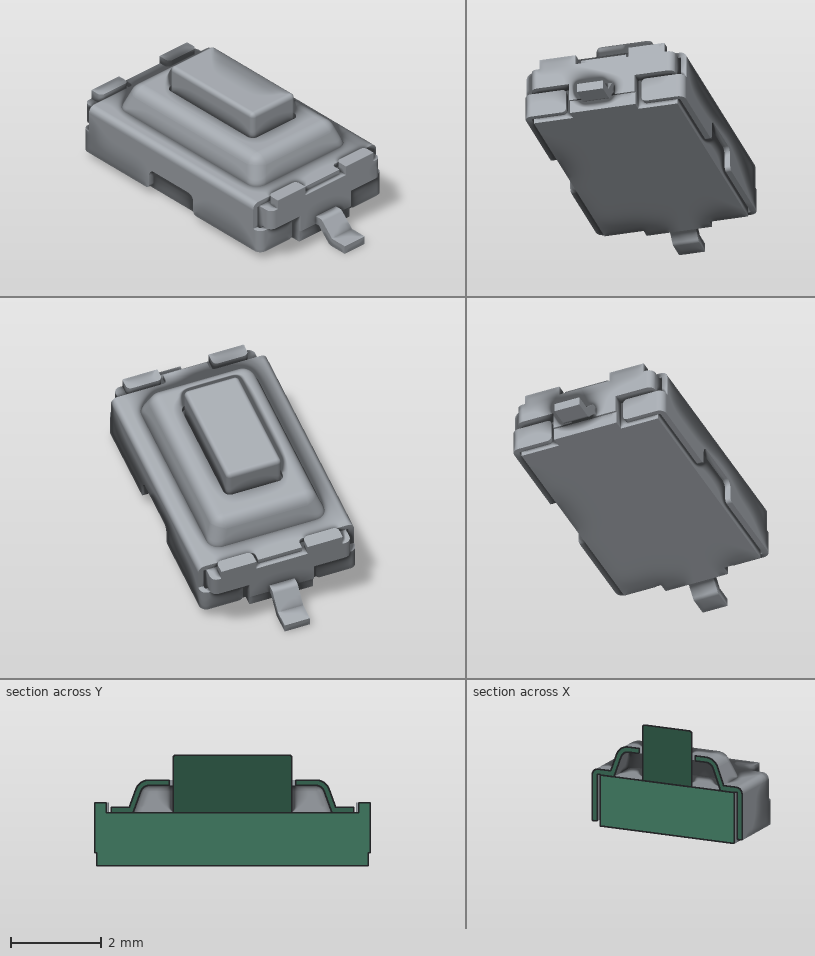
import cadquery as cq
import math

HOUSING_BOTTOM = 0.05
HOUSING_TOP = 1.23
POST_TOP = 1.46
DOME_TOP = 1.96
BUTTON_TOP = 2.55

HOUSING_LENGTH = 6.11
HOUSING_WIDTH = 3.31
HOUSING_CORNER_RADIUS = 0.15
NOTCH_DEPTH = 0.29
NOTCH_TOP = 0.75
END_BLOCK_WIDTH = 1.51
STEP_DEPTH = 0.05
POST_LENGTH = 0.32
POST_WIDTH = 0.83
POST_OFFSET_Y = 1.02
POST_RADIUS = 0.11

SHEET = 0.13
COVER_TOP = HOUSING_TOP + SHEET
COVER_LENGTH = 5.38
COVER_WIDTH = 3.7
COVER_EDGE_RADIUS = 0.15
WALL_BOTTOM = 0.15
TONGUE_REACH = 2.94
TONGUE_WIDTH = 1.04
TONGUE_ROOT_RADIUS = 0.1
TAB_OUTER_X = 2.9
TAB_TOP = 0.71
TAB_END_Y = 0.87
TAB_BEND_RADIUS = 0.17
TAB_CORNER_RADIUS = 0.1
WINDOW_WIDTH = 1.44
WINDOW_TOP = 0.66
WINDOW_TOP_RADIUS = 0.16
WINDOW_FOOT_RADIUS = 0.1

DOME_LENGTH = 4.58
DOME_WIDTH = 2.78
DOME_DRAFT = 20
DOME_RADIUS = 0.31

BUTTON_LENGTH = 2.72
BUTTON_WIDTH = 1.3
BUTTON_RADIUS = 0.1
BUTTON_CLEARANCE = 0.06

TERMINAL_SHEET = 0.2
TERMINAL_WIDTH = 0.6
TERMINAL_TIP_X = 4
FOOT_LENGTH = 0.42
TERMINAL_SHELF = 0.34
TERMINAL_BEND_ANGLE = 45
TERMINAL_BEND_RADIUS = 0.12

SIDES = (-1, 1)


def block(x_range, y_range, z_range):
    """Box spanning the given ranges."""
    (x0, x1), (y0, y1), (z0, z1) = x_range, y_range, z_range
    return cq.Workplane("XY").box(x1 - x0, y1 - y0, z1 - z0, centered=False).translate((x0, y0, z0))


def centered_block(length, width, bottom, top):
    """Box centered on the Z axis."""
    return block((-length / 2, length / 2), (-width / 2, width / 2), (bottom, top))


def at_both_ends(shape):
    """The shape together with its mirror image at the other X end."""
    return shape.union(shape.mirror("YZ"))


def at_both_sides(shape):
    """The shape together with its mirror image at the other Y side."""
    return shape.union(shape.mirror("XZ"))


def at_four_corners(shape):
    return at_both_sides(at_both_ends(shape))


def make_housing():
    end_x = HOUSING_LENGTH / 2
    side_y = HOUSING_WIDTH / 2
    body = centered_block(HOUSING_LENGTH, HOUSING_WIDTH, HOUSING_BOTTOM, HOUSING_TOP)
    body = body.edges("|Z").fillet(HOUSING_CORNER_RADIUS)

    notch = block(
        (-end_x, -end_x + NOTCH_DEPTH),
        (-side_y, -END_BLOCK_WIDTH / 2),
        (HOUSING_BOTTOM, NOTCH_TOP),
    )
    step = block(
        (-end_x, -end_x + STEP_DEPTH),
        (-side_y, side_y),
        (HOUSING_BOTTOM, TERMINAL_SHELF),
    )
    post = block(
        (-end_x, -end_x + POST_LENGTH),
        (-POST_OFFSET_Y - POST_WIDTH / 2, -POST_OFFSET_Y + POST_WIDTH / 2),
        (HOUSING_TOP, POST_TOP),
    )
    post = post.edges("|Z and >X").fillet(POST_RADIUS)
    return body.cut(at_four_corners(notch)).cut(at_both_ends(step)).union(at_four_corners(post))


def make_dome(inset):
    """Drafted dome from the housing top upwards, moved inwards everywhere by inset."""
    draft = math.radians(DOME_DRAFT)
    growth = 2 * (SHEET * math.tan(draft) - inset / math.cos(draft))
    height = DOME_TOP - inset - HOUSING_TOP
    dome = (
        cq.Workplane("XY", origin=(0, 0, HOUSING_TOP))
        .rect(DOME_LENGTH + growth, DOME_WIDTH + growth)
        .extrude(height, taper=DOME_DRAFT)
    )
    return dome.edges("not <Z").fillet(DOME_RADIUS - inset)


def make_wall_window():
    """Cut-out through both long walls, with rounded upper corners and a flared foot."""
    half = WINDOW_WIDTH / 2
    r_top, r_foot = WINDOW_TOP_RADIUS, WINDOW_FOOT_RADIUS
    outline = (
        cq.Workplane("XZ", origin=(0, COVER_WIDTH / 2, 0))
        .moveTo(-half - r_foot, WALL_BOTTOM)
        .radiusArc((-half, WALL_BOTTOM + r_foot), -r_foot)
        .lineTo(-half, WINDOW_TOP - r_top)
        .radiusArc((-half + r_top, WINDOW_TOP), r_top)
        .lineTo(half - r_top, WINDOW_TOP)
        .radiusArc((half, WINDOW_TOP - r_top), r_top)
        .lineTo(half, WALL_BOTTOM + r_foot)
        .radiusArc((half + r_foot, WALL_BOTTOM), -r_foot)
        .close()
    )
    return outline.extrude(COVER_WIDTH)


def make_tongue():
    """Tongue on the -X edge of the top plate, with rounded roots."""
    edge_x = -COVER_LENGTH / 2
    half = TONGUE_WIDTH / 2
    r = TONGUE_ROOT_RADIUS
    outline = (
        cq.Workplane("XY", origin=(0, 0, HOUSING_TOP))
        .moveTo(edge_x, -half - r)
        .radiusArc((edge_x - r, -half), -r)
        .lineTo(-TONGUE_REACH, -half)
        .lineTo(-TONGUE_REACH, half)
        .lineTo(edge_x - r, half)
        .radiusArc((edge_x, half + r), -r)
        .close()
    )
    return outline.extrude(SHEET)


def make_tab():
    """Tab at the -X, -Y corner, bent from the long wall around the housing end."""
    edge_x = -COVER_LENGTH / 2
    wall_y = -COVER_WIDTH / 2
    outer = block((-TAB_OUTER_X, edge_x), (wall_y, -TAB_END_Y), (WALL_BOTTOM, TAB_TOP))
    outer = outer.edges("|Z and <X and <Y").fillet(TAB_BEND_RADIUS)
    inner = block(
        (-TAB_OUTER_X + SHEET, edge_x),
        (wall_y + SHEET, -TAB_END_Y),
        (WALL_BOTTOM, TAB_TOP),
    )
    inner = inner.edges("|Z and <X and <Y").fillet(TAB_BEND_RADIUS - SHEET)
    return outer.cut(inner).edges("|X and >Y").fillet(TAB_CORNER_RADIUS)


def make_cover():
    shell = centered_block(COVER_LENGTH, COVER_WIDTH, WALL_BOTTOM, COVER_TOP)
    shell = shell.edges("|X and >Z").fillet(COVER_EDGE_RADIUS)
    shell = shell.cut(centered_block(COVER_LENGTH, COVER_WIDTH - 2 * SHEET, WALL_BOTTOM, HOUSING_TOP))
    shell = shell.cut(make_wall_window())
    shell = shell.union(at_both_ends(make_tongue()))
    shell = shell.union(at_four_corners(make_tab()))
    shell = shell.union(make_dome(0)).cut(make_dome(SHEET))

    opening = centered_block(
        BUTTON_LENGTH + 2 * BUTTON_CLEARANCE,
        BUTTON_WIDTH + 2 * BUTTON_CLEARANCE,
        HOUSING_TOP,
        DOME_TOP,
    )
    return shell.cut(opening.edges("|Z").fillet(BUTTON_RADIUS + BUTTON_CLEARANCE))


def make_button():
    body = centered_block(BUTTON_LENGTH, BUTTON_WIDTH, HOUSING_TOP, BUTTON_TOP)
    return body.edges("|Z or >Z").fillet(BUTTON_RADIUS)


def make_terminal(side):
    """Terminal at the X end given by side, -1 or +1."""
    heel_x = -TERMINAL_TIP_X + FOOT_LENGTH
    bend_shift = TERMINAL_SHEET * math.tan(math.radians(TERMINAL_BEND_ANGLE) / 2)
    slope_run = TERMINAL_SHELF / math.tan(math.radians(TERMINAL_BEND_ANGLE))
    lower_bend = (heel_x + bend_shift, 0)
    upper_bend = (heel_x + slope_run, TERMINAL_SHELF + TERMINAL_SHEET)
    housing_x = -HOUSING_LENGTH / 2
    profile = [
        (-TERMINAL_TIP_X, 0),
        lower_bend,
        (lower_bend[0] + slope_run, TERMINAL_SHELF),
        (housing_x, TERMINAL_SHELF),
        (housing_x, TERMINAL_SHELF + TERMINAL_SHEET),
        upper_bend,
        (heel_x, TERMINAL_SHEET),
        (-TERMINAL_TIP_X, TERMINAL_SHEET),
    ]
    strip = cq.Workplane("XZ").polyline(profile).close().extrude(TERMINAL_WIDTH / 2, both=True)
    for x, z in (lower_bend, upper_bend):
        strip = strip.edges(cq.selectors.NearestToPointSelector((x, 0, z))).fillet(TERMINAL_BEND_RADIUS)
    return strip if side < 0 else strip.mirror("YZ")


housing = make_housing()
cover = make_cover()
button = make_button()
terminals = [make_terminal(side) for side in SIDES]

result = cq.Compound.makeCompound([
    housing.solids().val(),
    cover.solids().val(),
    button.solids().val(),
    *[terminal.solids().val() for terminal in terminals],
])